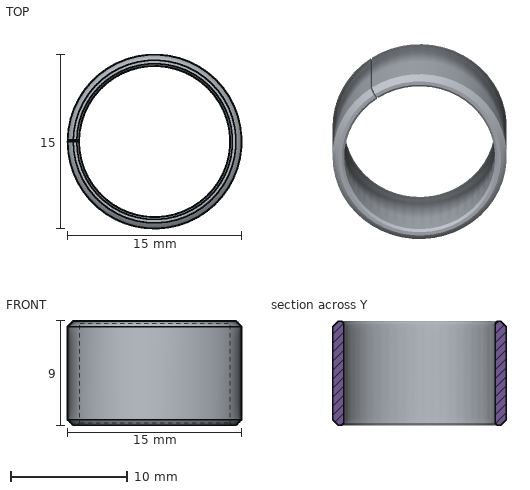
import cadquery as cq

outer_diameter = 15.0
wall = 1.0
length = 9.0
outer_chamfer = 0.5
bore_chamfer = 0.21
slit_angle = 1.0

outer_radius = outer_diameter / 2
bore_radius = outer_radius - wall
outer_land_radius = outer_radius - outer_chamfer
inner_land_radius = bore_radius + bore_chamfer


def wall_section():
    """Chamfered wall section in the XZ plane, on the -X side of the axis."""
    return (
        cq.Workplane("XZ")
        .moveTo(-inner_land_radius, 0)
        .lineTo(-outer_land_radius, 0)
        .lineTo(-outer_radius, outer_chamfer)
        .lineTo(-outer_radius, length - outer_chamfer)
        .lineTo(-outer_land_radius, length)
        .lineTo(-inner_land_radius, length)
        .lineTo(-bore_radius, length - bore_chamfer)
        .lineTo(-bore_radius, bore_chamfer)
        .close()
    )


result = wall_section().revolve(360 - slit_angle, (0, 0, 0), (0, 1, 0))